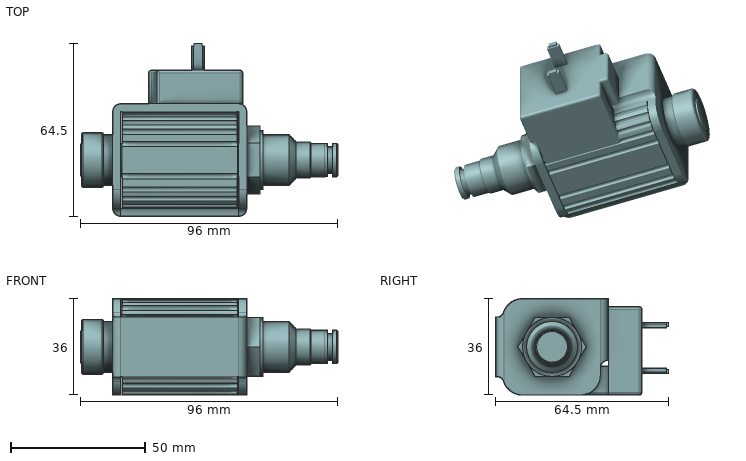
import cadquery as cq
import math


bracket_length = 50.0
bracket_half_width = 21.0
bracket_half_height = 18.0
sheet = 3.0
bend_radius = 3.0
side_corner_radius = 7.5
front_half_height = 11.15
back_bottom = -5.0
notch_radius = 2.5
inner_half_width = bracket_half_width - sheet
side_corner_y = -11.0
cut_margin = 3.0

coil_end_gap = 0.5
coil_half_size = bracket_half_height
coil_front_radius = 7.0
coil_back_radius = 8.0
groove_radius = 1.0
face_groove_y = 6.0
front_groove_angles = (0, 30, 60, 90)
back_groove_angles = (4, 30, 56, 82)

housing_left = 16.5
housing_right = 48.5
housing_top = 15.0
housing_bottom = -bracket_half_height
housing_face = 33.5
housing_fillet = 1.0
neck_right_inset = 2.0
neck_start = 10.0
neck_overlap = 1.0
neck_top = -7.2
key_left = 13.4
key_overlap = 2 * housing_fillet
key_top = 7.9
key_bottom = -9.1

terminal_left = 29.4
terminal_width = 4.8
terminal_thickness = 2.1
terminal_root = 3.0
terminal_end = 42.6
terminal_tip_end = 43.5
terminal_tip_width = 3.1
terminal_tip_thickness = 1.6
terminal_chamfer = 0.65
upper_terminal_outer_z = 9.15
lower_terminal_outer_z = -10.0

shaft_diameter = 12.5
neck_diameter = 19.0
knob_diameter = 20.5
knob_chamfer = 0.5
button_diameter = 12.0
button_end = -12.0
knob_start = -11.6
knob_end = -3.4
hex_across_flats = 22.0
hex_length = 5.0
hex_end = bracket_length + hex_length
collar_diameter = 22.0
collar_end = hex_end + 1.0
cone_start = 65.7
cone_end = 68.4
spigot_diameter = 13.5
spigot_end = 73.5
spigot_chamfer = 0.5
outlet_diameter = 12.5
outlet_end = 84.0
seal_groove_start = 80.0
seal_groove_end = 82.0
seal_groove_diameter = 10.0
seal_taper_start = seal_groove_start - 1.0
seal_groove_edge_diameter = 12.4
lip_chamfer = 0.5


def box(x0, x1, y0, y1, z0, z1):
    """Axis-aligned box between two opposite corners."""
    return cq.Workplane("XY").box(x1 - x0, y1 - y0, z1 - z0, centered=False).translate((x0, y0, z0))


def polar(centre, radius, angle):
    """Point on a circle in the YZ plane, with the angle in radians from +Y."""
    return (centre[0] + radius * math.cos(angle), centre[1] + radius * math.sin(angle))


def front_notch():
    """Cutter above the front wall: a convex side corner running tangent into a concave notch."""
    corner = (side_corner_y, bracket_half_height - side_corner_radius)
    notch_z = front_half_height + notch_radius
    rise = notch_z - corner[1]
    centre_distance = side_corner_radius + notch_radius
    reach = math.sqrt(centre_distance**2 - rise**2)
    notch = (corner[0] - reach, notch_z)
    top_angle = math.pi / 2
    tangent_angle = math.pi - math.asin(rise / centre_distance)
    notch_start_angle = tangent_angle - math.pi
    notch_end_angle = -math.pi / 2
    outside_y = -bracket_half_width - cut_margin
    outside_z = bracket_half_height + cut_margin
    return (
        cq.Workplane("YZ")
        .moveTo(*polar(corner, side_corner_radius, top_angle))
        .threePointArc(
            polar(corner, side_corner_radius, (top_angle + tangent_angle) / 2),
            polar(corner, side_corner_radius, tangent_angle),
        )
        .threePointArc(
            polar(notch, notch_radius, (notch_start_angle + notch_end_angle) / 2),
            polar(notch, notch_radius, notch_end_angle),
        )
        .lineTo(outside_y, front_half_height)
        .lineTo(outside_y, outside_z)
        .lineTo(corner[0], outside_z)
        .close()
        .extrude(bracket_length)
    )


def front_trim():
    """Cutter that levels the top of the front wall between the side walls."""
    return box(
        sheet, bracket_length - sheet,
        -bracket_half_width, -inner_half_width,
        front_half_height, bracket_half_height,
    )


def back_notch():
    """Cutter below the back wall: side-wall corner, straight edge and concave notch."""
    corner = (inner_half_width - side_corner_radius, -bracket_half_height + side_corner_radius)
    notch = (bracket_half_width, back_bottom - sheet)
    notch_start = (bracket_half_width, back_bottom)
    notch_end = (inner_half_width, back_bottom - sheet)
    outside_y = bracket_half_width + cut_margin
    outside_z = -bracket_half_height - cut_margin
    return (
        cq.Workplane("YZ")
        .moveTo(*notch_start)
        .threePointArc(polar(notch, sheet, 3 * math.pi / 4), notch_end)
        .lineTo(inner_half_width, corner[1])
        .threePointArc(
            polar(corner, side_corner_radius, -math.pi / 4),
            polar(corner, side_corner_radius, -math.pi / 2),
        )
        .lineTo(corner[0], outside_z)
        .lineTo(outside_y, outside_z)
        .lineTo(outside_y, back_bottom)
        .close()
        .extrude(bracket_length)
    )


def make_bracket():
    """Closed rectangular strap with notched corners."""
    bracket = box(
        0, bracket_length,
        -bracket_half_width, bracket_half_width,
        -bracket_half_height, bracket_half_height,
    ).edges("|Z").fillet(bend_radius)
    window = box(
        sheet, bracket_length - sheet,
        -inner_half_width, inner_half_width,
        -bracket_half_height, bracket_half_height,
    )
    bracket = bracket.cut(window)
    front_cut = front_notch().union(front_trim())
    return bracket.cut(front_cut).cut(front_cut.mirror("XY")).cut(back_notch())


def make_coil():
    """Rounded coil body with grooves running along X."""
    start = sheet + coil_end_gap
    length = bracket_length - 2 * start
    coil = (
        cq.Workplane("YZ", origin=(start, 0, 0))
        .rect(2 * coil_half_size, 2 * coil_half_size)
        .extrude(length)
    )
    coil = coil.edges("|X and <Y").fillet(coil_front_radius)
    coil = coil.edges("|X and >Y").fillet(coil_back_radius)
    corner_kinds = (
        (-1, coil_front_radius, front_groove_angles),
        (1, coil_back_radius, back_groove_angles),
    )
    centres = []
    for z_sign in (1, -1):
        for y_sign, radius, angles in corner_kinds:
            corner = coil_half_size - radius
            centres.append((y_sign * face_groove_y, z_sign * coil_half_size))
            for angle in angles:
                y = corner + radius * math.sin(math.radians(angle))
                z = corner + radius * math.cos(math.radians(angle))
                centres.append((y_sign * y, z_sign * z))
    grooves = (
        cq.Workplane("YZ", origin=(start, 0, 0))
        .pushPoints(centres)
        .circle(groove_radius)
        .extrude(length)
    )
    return coil.cut(grooves)


def make_housing():
    """Connector housing with its side key and the neck that reaches the coil."""
    housing = box(
        housing_left, housing_right, bracket_half_width, housing_face, housing_bottom, housing_top
    ).edges("|Y or >Y").fillet(housing_fillet)
    key = box(
        key_left, housing_left + key_overlap, bracket_half_width, housing_face, key_bottom, key_top
    ).edges("|Y or >Y").fillet(housing_fillet)
    neck = box(
        housing_left, housing_right - neck_right_inset,
        neck_start, bracket_half_width + neck_overlap,
        housing_bottom, neck_top,
    ).edges("|Y and <Z").fillet(housing_fillet)
    return housing.union(key).union(neck)


def make_terminal(outer_z, z_sign):
    """Flat blade whose outer face lies at outer_z and faces z_sign."""
    centre_x = terminal_left + terminal_width / 2
    inner_z = outer_z - z_sign * terminal_thickness
    tip_z = outer_z - z_sign * terminal_tip_thickness
    blade = box(
        terminal_left, terminal_left + terminal_width, housing_face - terminal_root, terminal_end,
        min(outer_z, inner_z), max(outer_z, inner_z),
    )
    outer_face = ">Z" if z_sign > 0 else "<Z"
    blade = blade.faces(outer_face).edges("|Y").chamfer(terminal_chamfer)
    tip = box(
        centre_x - terminal_tip_width / 2, centre_x + terminal_tip_width / 2,
        housing_face, terminal_tip_end,
        min(outer_z, tip_z), max(outer_z, tip_z),
    )
    return blade.union(tip)


def step(start, end, diameter):
    """Two outline points of a plain cylindrical step."""
    return [(start, diameter / 2), (end, diameter / 2)]


def make_armature():
    """Turned parts: knob, shaft through the coil, and stepped outlet fitting."""
    knob_edge_diameter = knob_diameter - 2 * knob_chamfer
    lip_edge_diameter = outlet_diameter - 2 * lip_chamfer
    profile = (
        [(button_end, 0)]
        + step(button_end, knob_start, button_diameter)
        + [(knob_start, knob_edge_diameter / 2)]
        + step(knob_start + knob_chamfer, knob_end - knob_chamfer, knob_diameter)
        + [(knob_end, knob_edge_diameter / 2)]
        + step(knob_end, 0, neck_diameter)
        + step(0, hex_end, shaft_diameter)
        + step(hex_end, collar_end, collar_diameter)
        + step(collar_end, cone_start, neck_diameter)
        + step(cone_end, spigot_end, spigot_diameter)
        + step(spigot_end + spigot_chamfer, seal_taper_start, outlet_diameter)
        + [(seal_groove_start, seal_groove_edge_diameter / 2)]
        + step(seal_groove_start, seal_groove_end, seal_groove_diameter)
        + step(seal_groove_end, outlet_end - lip_chamfer, outlet_diameter)
        + [(outlet_end, lip_edge_diameter / 2), (outlet_end, 0)]
    )
    turned = cq.Workplane("XY").polyline(profile).close().revolve(360, (0, 0, 0), (1, 0, 0))
    nut = (
        cq.Workplane("YZ", origin=(bracket_length, 0, 0))
        .polygon(6, hex_across_flats / math.cos(math.pi / 6))
        .extrude(hex_length)
    )
    return turned.union(nut)


result = (
    make_bracket()
    .union(make_coil())
    .union(make_armature())
    .union(make_housing())
    .union(make_terminal(upper_terminal_outer_z, 1))
    .union(make_terminal(lower_terminal_outer_z, -1))
)